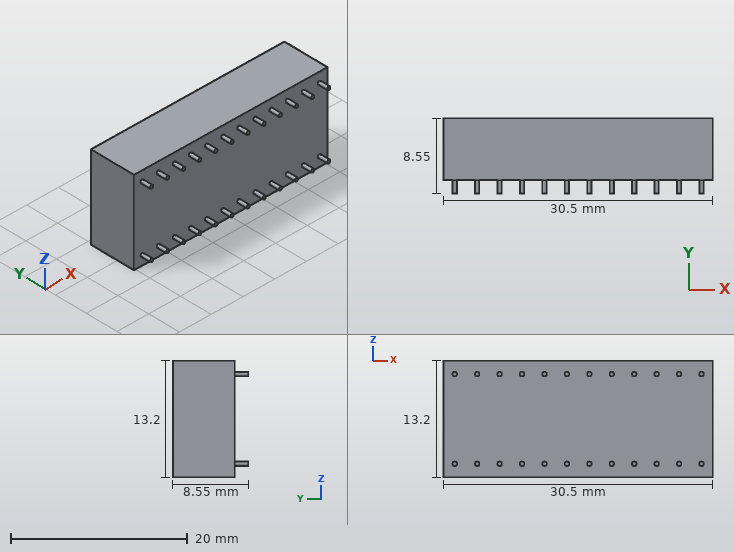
import cadquery as cq

BODY_LENGTH = 30.5
BODY_DEPTH = 7.02
BODY_HEIGHT = 13.2

TOTAL_DEPTH = 8.55
PIN_LENGTH = TOTAL_DEPTH - BODY_DEPTH
PIN_DIAMETER = 0.52
PINS_PER_ROW = 12
ROW_LENGTH = 27.95
PIN_PITCH = ROW_LENGTH / (PINS_PER_ROW - 1)
ROW_COUNT = 2
ROW_SPACING = 10.15


def make_body():
    """Block centred in X and Z, with its pin face on Y = 0."""
    return cq.Workplane("XY").box(
        BODY_LENGTH, BODY_DEPTH, BODY_HEIGHT, centered=(True, False, True)
    )


def make_pins():
    """Round pins running from the pin face toward -Y."""
    return (
        cq.Workplane("XZ")
        .rarray(PIN_PITCH, ROW_SPACING, PINS_PER_ROW, ROW_COUNT)
        .circle(PIN_DIAMETER / 2)
        .extrude(PIN_LENGTH)
    )


result = make_body().union(make_pins())